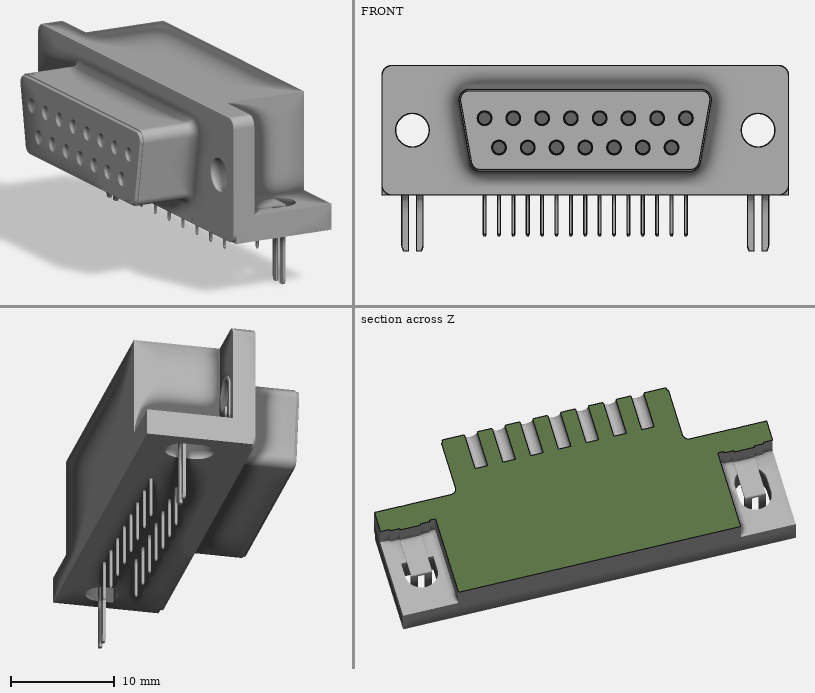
import cadquery as cq
import math


length = 39.2
height = 12.5
depth = 10.78
flange_depth = 2.27
body_length = 28.22
base_height = 2.6
corner_radius = 0.98

plate_thickness = 0.3
plate_edge_radius = 0.1

mount_x = 16.65
mount_z = height / 2
mount_diameter = 3.2
slot_diameter = mount_diameter
slot_front_y = 5.1
slot_rear_y = 6.62

washer_diameter = 4.0
washer_thickness = 0.15
strap_width = 2.08
strap_thickness = 0.3
strap_rise = 0.098
bend_radius = 0.15
leg_width = 0.65
leg_length = 5.4
leg_tip_height = 0.7
leg_tip_inset = 0.2

shell_length = 6.1
shell_height = 7.88
shell_bottom_z = mount_z - shell_height / 2
shell_top_z = mount_z + shell_height / 2
shell_radius = 0.98
shell_root_radius = 0.6
shell_slope = math.radians(10)
shell_top_centre_x = 11.17

insert_thickness = 0.3
insert_inset = 0.137
insert_edge_radius = 0.1

row_gap = 2.82
contact_z = 6.0
upper_count = 8
upper_span = 19.4
pitch = upper_span / (upper_count - 1)
socket_diameter = 1.2
socket_edge = 0.1
socket_depth = 3.92
pin_diameter = 0.3
pin_length = 3.95
pin_tip_height = 0.2
pin_tip_diameter = 0.1
pin_row_y = slot_rear_y


def box(x0, x1, y0, y1, z0, z1):
    """Box between two opposite corners."""
    return cq.Workplane("XY").box(x1 - x0, y1 - y0, z1 - z0, centered=False).translate((x0, y0, z0))


def contact_rows():
    """Count, height and pin-row position of the upper and lower contacts."""
    return [
        (upper_count, contact_z + row_gap / 2, pin_row_y + row_gap / 2),
        (upper_count - 1, contact_z - row_gap / 2, pin_row_y - row_gap / 2),
    ]


def row_positions(count):
    """X positions of one row of contacts, centred on the part."""
    return [(i - (count - 1) / 2) * pitch for i in range(count)]


def make_housing():
    """Flange, base and body, with the rounded face plate in front."""
    half = length / 2
    flange = box(-half, half, plate_thickness, flange_depth, 0, height)
    flange = flange.edges("|Y and >Z").fillet(corner_radius)
    base = box(-half, half, plate_thickness, depth, 0, base_height)
    body = box(-body_length / 2, body_length / 2, plate_thickness, depth, 0, height)
    plate = box(-half, half, 0, plate_thickness, 0, height)
    plate = plate.edges("|Y").fillet(corner_radius)
    for side in (-1, 1):
        plate = plate.cut(mount_hole(side))
    plate = plate.faces("<Y").edges().fillet(plate_edge_radius)
    return flange.union(base).union(body).union(plate)


def mount_hole(side):
    """Cylinder through the flange and bracket at one end."""
    return (
        cq.Workplane("XZ", origin=(side * mount_x, 0, mount_z))
        .circle(mount_diameter / 2)
        .extrude(-(flange_depth + strap_thickness))
    )


def make_slot(side):
    """Board-lock slot; its front end is round on the left and square on the right."""
    x = side * mount_x
    radius = slot_diameter / 2
    slot = box(x - radius, x + radius, slot_front_y, slot_rear_y, 0, base_height)
    round_ends = [slot_rear_y]
    if side < 0:
        round_ends.append(slot_front_y)
    for y in round_ends:
        slot = slot.union(cq.Workplane("XY", origin=(x, y, 0)).circle(radius).extrude(base_height))
    return slot


def make_leg(outward):
    """One leg; outward is the side (-1 or 1) where the tip curves smoothly inward."""
    inner = outward * (strap_width / 2 - leg_width)
    outer = outward * strap_width / 2
    tip = outer - outward * leg_tip_inset
    return (
        cq.Workplane("XZ", origin=(0, slot_rear_y + strap_thickness / 2, 0))
        .moveTo(inner, base_height)
        .lineTo(outer, base_height)
        .lineTo(outer, leg_tip_height - leg_length)
        .tangentArcPoint((tip, -leg_length), relative=False)
        .lineTo(inner, -leg_length)
        .close()
        .extrude(strap_thickness)
    )


def make_bracket(side):
    """Washer plate and bent strap behind the flange, with two legs down through the board."""
    washer = (
        cq.Workplane("XZ", origin=(0, flange_depth, mount_z))
        .circle(washer_diameter / 2)
        .extrude(-washer_thickness)
    )
    skirt = box(
        -washer_diameter / 2, washer_diameter / 2,
        flange_depth, flange_depth + washer_thickness,
        base_height, mount_z,
    )
    half = strap_width / 2
    strap_top = base_height + strap_rise
    upright = box(
        -half, half,
        flange_depth, flange_depth + strap_thickness,
        base_height, mount_z - mount_diameter / 2,
    )
    strap = box(
        -half, half,
        flange_depth, slot_rear_y + strap_thickness / 2,
        strap_top - strap_thickness, strap_top,
    )
    strap = strap.edges("|X and >Y and >Z").fillet(bend_radius)
    bracket = washer.union(skirt).union(upright).union(strap)
    for outward in (-1, 1):
        bracket = bracket.union(make_leg(outward))
    return bracket.translate((side * mount_x, 0, 0)).cut(mount_hole(side))


def make_d_block(inset, start_y, extent):
    """D-shaped block with its outline moved in by inset, running forward from start_y."""
    radius = shell_radius - inset
    top_z = shell_top_z - inset
    bottom_z = shell_bottom_z + inset
    top_half = shell_top_centre_x + radius * (1 / math.cos(shell_slope) + math.tan(shell_slope))
    bottom_half = top_half - (top_z - bottom_z) * math.tan(shell_slope)
    return (
        cq.Workplane("XZ", origin=(0, start_y, 0))
        .polyline([
            (-top_half, top_z),
            (top_half, top_z),
            (bottom_half, bottom_z),
            (-bottom_half, bottom_z),
        ])
        .close()
        .extrude(extent)
        .edges("|Y")
        .fillet(radius)
    )


def make_shell():
    """D-shaped shell in front of the flange, tipped by the slightly smaller insulator."""
    rim_y = insert_thickness - shell_length
    shell = make_d_block(0, 0, -rim_y)
    insert = make_d_block(insert_inset, rim_y, insert_thickness)
    insert = insert.faces("<Y").edges().fillet(insert_edge_radius)
    return shell.union(insert)


def add_shell(housing):
    """Join the shell to the face plate with a concave fillet at its root."""
    joined = housing.union(make_shell())
    half_width = shell_top_centre_x + 2 * shell_radius
    root = cq.selectors.BoxSelector(
        (-half_width, -shell_root_radius, shell_bottom_z - shell_root_radius),
        (half_width, plate_edge_radius / 2, shell_top_z + shell_root_radius),
        boundingbox=True,
    )
    return joined.edges(root).fillet(shell_root_radius)


def make_socket(x, z):
    """Blind contact hole with a chamfered mouth."""
    front = cq.Workplane("XZ", origin=(x, -shell_length, z))
    bore = front.circle(socket_diameter / 2).extrude(-socket_depth)
    mouth = cq.Solid.makeCone(
        socket_diameter / 2 + socket_edge,
        socket_diameter / 2,
        socket_edge,
        cq.Vector(x, -shell_length, z),
        cq.Vector(0, 1, 0),
    )
    return bore.union(cq.Workplane(mouth))


def make_pin(x, y):
    """Round board pin with a tapered tip, rooted in the base."""
    root_z = base_height / 2
    profile = [
        (0, root_z),
        (pin_diameter / 2, root_z),
        (pin_diameter / 2, pin_tip_height - pin_length),
        (pin_tip_diameter / 2, -pin_length),
        (0, -pin_length),
    ]
    pin = cq.Workplane("XZ").polyline(profile).close().revolve(360, (0, 0, 0), (0, 1, 0))
    return pin.translate((x, y, 0))


result = add_shell(make_housing())
for side in (-1, 1):
    result = result.cut(make_slot(side)).cut(mount_hole(side)).union(make_bracket(side))
for count, socket_z, pin_y in contact_rows():
    for x in row_positions(count):
        result = result.cut(make_socket(x, socket_z)).union(make_pin(x, pin_y))